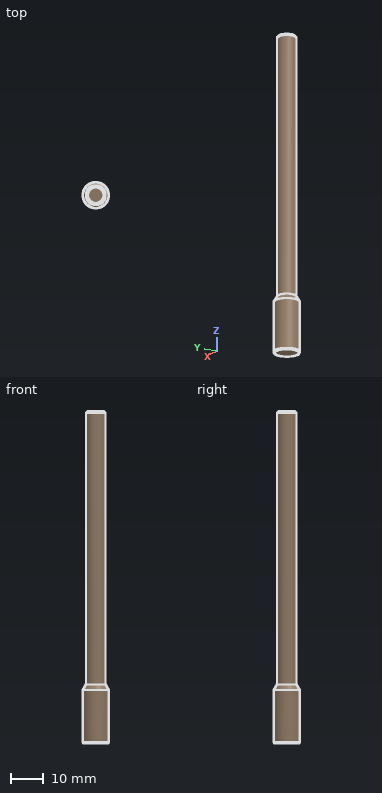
import cadquery as cq

total_length = 101.0
rod_diameter = 6.0
head_diameter = 8.0
head_height = 18.0
taper_height = 1.7
rod_chamfer = 0.6
head_chamfer_height = 0.4
head_chamfer_width = 0.2

rod_length = total_length - head_height
taper_width = (head_diameter - rod_diameter) / 2


def make_head():
    """Round head, chamfered below and tapered above to the rod diameter."""
    head = cq.Workplane("XY").circle(head_diameter / 2).extrude(head_height)
    head = head.faces("<Z").chamfer(head_chamfer_height, head_chamfer_width)
    return head.faces(">Z").chamfer(taper_height, taper_width)


def make_rod():
    """Plain rod standing on the head, chamfered at its free end."""
    rod = cq.Workplane("XY", origin=(0, 0, head_height)).circle(rod_diameter / 2).extrude(rod_length)
    return rod.faces(">Z").chamfer(rod_chamfer)


head = make_head()
rod = make_rod()

result = cq.Compound.makeCompound([head.val(), rod.val()])